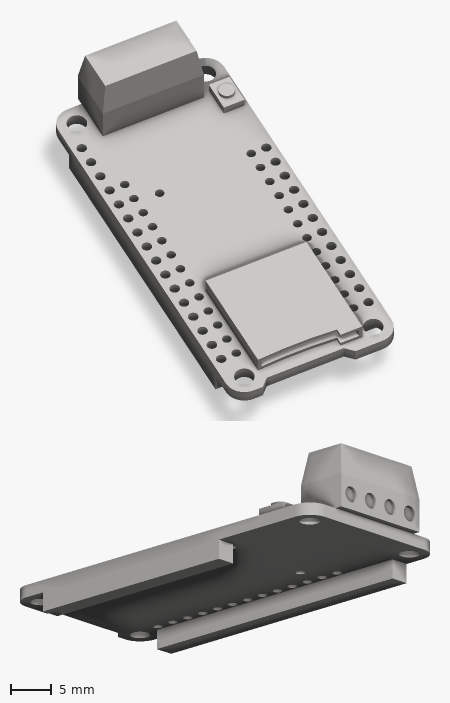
import cadquery as cq


board_length = 50.8
board_width = 22.85
board_thickness = 1.6
corner_radius = 2.55
mounting_hole_diameter = 2.55
mounting_hole_inset = corner_radius

notch_depth = 1.1
notch_top_y = 5.2
notch_bottom_y = -7.6

pin_pitch = 2.55
outer_row_y = (board_width - pin_pitch) / 2
inner_row_y = 8.1
outer_pin_diameter = 1.3
inner_pin_diameter = 1.2
last_pin_x = board_length - 2.5 * pin_pitch
upper_pin_count = 12
lower_outer_pin_count = 16
lower_inner_pin_count = 13
lone_hole_x = 17.2
lone_hole_y = -4.85

header_width = pin_pitch
header_height = 2.5
header_end_margin = 1.0

terminal_overhang = 1.0
terminal_length = 6.85
terminal_width = 13.95
terminal_base_height = 4.3
terminal_total_height = 8.5
terminal_top_inset = 0.65
wire_hole_count = 4
wire_hole_diameter = 2.0
wire_hole_pitch = 3.45
wire_hole_height = 1.95
wire_hole_depth = 0.5

button_x = 7.2
button_y = 9.45
button_length = 4.15
button_width = 2.85
button_base_height = 1.1
button_cap_diameter = 2.0
button_cap_height = 0.45

socket_left_x = 33.9
socket_body_length = 14.3
socket_width = 13.9
socket_height = 2.0
socket_wall = 0.45
tab_length = 1.0
tab_width = 3.0
mouth_arc_depth = 0.2


def pin_row(count, y):
    """Points of a pin row that ends at the last pin position."""
    return [(last_pin_x - i * pin_pitch, y) for i in range(count)]


def board_outline():
    """Rounded rectangle with a shallow notch in its right edge."""
    notch_x = board_length - notch_depth
    plate = (
        cq.Workplane("XY")
        .box(board_length, board_width, board_thickness, centered=(False, True, False))
        .edges("|Z")
        .fillet(corner_radius)
    )
    notch = (
        cq.Workplane("XY")
        .moveTo(board_length, notch_top_y)
        .lineTo(notch_x, notch_top_y - notch_depth)
        .lineTo(notch_x, notch_bottom_y + notch_depth)
        .lineTo(board_length, notch_bottom_y)
        .close()
        .extrude(board_thickness)
    )
    return plate.cut(notch)


def drill(plate, points, diameter):
    """Cut through holes in the board at the given points."""
    drills = cq.Workplane("XY").pushPoints(points).circle(diameter / 2).extrude(board_thickness)
    return plate.cut(drills)


def make_board():
    mounting_y = board_width / 2 - mounting_hole_inset
    mounting_points = [
        (x, y)
        for x in (mounting_hole_inset, board_length - mounting_hole_inset)
        for y in (-mounting_y, mounting_y)
    ]
    outer_points = pin_row(upper_pin_count, outer_row_y) + pin_row(lower_outer_pin_count, -outer_row_y)
    inner_points = pin_row(upper_pin_count, inner_row_y) + pin_row(lower_inner_pin_count, -inner_row_y)
    inner_points.append((lone_hole_x, lone_hole_y))

    plate = drill(board_outline(), mounting_points, mounting_hole_diameter)
    plate = drill(plate, outer_points, outer_pin_diameter)
    return drill(plate, inner_points, inner_pin_diameter)


def make_header(pin_count, y):
    """Plain strip below the board that closes the pin holes of one outer row."""
    length = (pin_count - 1) * pin_pitch + 2 * header_end_margin
    right_x = last_pin_x + header_end_margin
    return (
        cq.Workplane("XY")
        .box(length, header_width, header_height, centered=(True, True, False))
        .translate((right_x - length / 2, y, -header_height))
    )


def make_terminal_block():
    """Rectangular base with wire holes in its left face and a tapered top."""
    base = cq.Workplane("XY").box(
        terminal_length, terminal_width, terminal_base_height, centered=(True, True, False)
    )
    top = (
        cq.Workplane("XY")
        .workplane(offset=terminal_base_height)
        .rect(terminal_length, terminal_width)
        .workplane(offset=terminal_total_height - terminal_base_height)
        .rect(terminal_length - 2 * terminal_top_inset, terminal_width - 2 * terminal_top_inset)
        .loft(ruled=True)
    )
    first_hole_y = -(wire_hole_count - 1) * wire_hole_pitch / 2
    hole_points = [(first_hole_y + i * wire_hole_pitch, wire_hole_height) for i in range(wire_hole_count)]
    wire_holes = (
        cq.Workplane("YZ", origin=(-terminal_length / 2, 0, 0))
        .pushPoints(hole_points)
        .circle(wire_hole_diameter / 2)
        .extrude(wire_hole_depth)
    )
    block = base.union(top).cut(wire_holes)
    return block.translate((terminal_length / 2 - terminal_overhang, 0, board_thickness))


def make_button():
    """Rectangular switch body with a round cap."""
    base = cq.Workplane("XY").box(
        button_length, button_width, button_base_height, centered=(True, True, False)
    )
    cap = (
        cq.Workplane("XY")
        .circle(button_cap_diameter / 2)
        .extrude(button_base_height + button_cap_height)
    )
    return base.union(cap).translate((button_x, button_y, board_thickness))


def make_card_socket():
    """Thin-walled card socket, open to the right, with a tab beside its curved mouth."""
    half_width = socket_width / 2
    mouth_x = socket_left_x + socket_body_length
    tab_x = mouth_x + tab_length
    tab_y = half_width - tab_width
    arc_middle = (mouth_x - mouth_arc_depth, (tab_y - half_width) / 2)
    shell = (
        cq.Workplane("XY")
        .moveTo(socket_left_x, -half_width)
        .lineTo(mouth_x, -half_width)
        .threePointArc(arc_middle, (mouth_x, tab_y))
        .lineTo(tab_x, tab_y)
        .lineTo(tab_x, half_width)
        .lineTo(socket_left_x, half_width)
        .close()
        .extrude(socket_height)
    )
    card_slot = (
        cq.Workplane("XY")
        .box(
            tab_x - socket_left_x - socket_wall,
            socket_width - 2 * socket_wall,
            socket_height - 2 * socket_wall,
            centered=(False, True, False),
        )
        .translate((socket_left_x + socket_wall, 0, socket_wall))
    )
    return shell.cut(card_slot).translate((0, 0, board_thickness))


board = make_board()
headers = [
    make_header(pin_count, y)
    for pin_count, y in ((upper_pin_count, outer_row_y), (lower_outer_pin_count, -outer_row_y))
]
terminal_block = make_terminal_block()
button = make_button()
card_socket = make_card_socket()

result = cq.Compound.makeCompound(
    [
        board.val(),
        *[header.val() for header in headers],
        terminal_block.val(),
        button.val(),
        card_socket.val(),
    ]
)